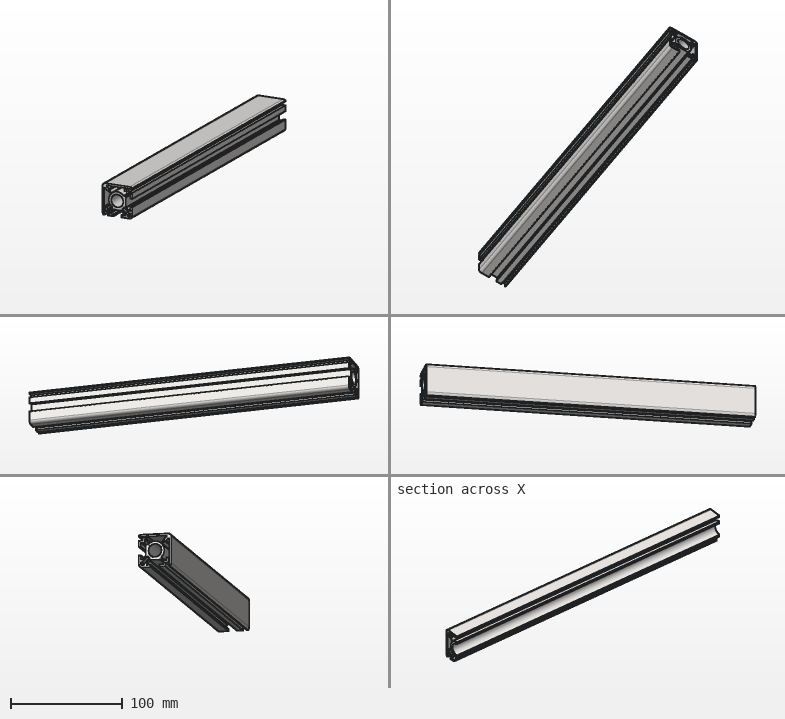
import cadquery as cq
import math

length = 300.0
side = 30.0
half = side / 2

wall = 1.95
inner_face = half - wall
corner_radius = 3.0

bore_radius = 6.0
tube_wall = 2.55
tube_radius = bore_radius + tube_wall

groove_width = 3.5
groove_bottom = inner_face - groove_width
groove_depth = 3.5
groove_floor_x = half - groove_depth
slit_start_x = 7.8
slit_wide_end_x = 9.3
slit_height = 1.05
slit_mouth_height = 0.45
tip_arc_start_x = half - corner_radius
tip_drop = 1.05

mouth_half_width = 4.0
lip_thickness = 1.8
lip_root = groove_bottom - lip_thickness
slot_ledge_width = 0.5
slot_ledge_x = tube_radius + slot_ledge_width
slot_ledge_drop = 1.05
slot_ledge_z = bore_radius - slot_ledge_drop
flank_end_x = 11.0
flank_step = 0.3
flank_end_z = lip_root - flank_step

chamber_left_x = -10.5
web_step_z = 12.3
hook_left_x = 7.0
hook_thickness = 1.65
hook_bottom = inner_face - slit_height - hook_thickness
hook_wall = 1.8
leg_inner_x = groove_floor_x - hook_wall
shelf_z = 5.7
shelf_right_x = 8.0
tube_notch_x = -6.0
tube_notch_z = 6.5
web_thick_offset = 1.8
web_thin_offset = 1.0
web_thick_end_x = -8.5
web_thin_start_x = -8.0

box_start_x = 7.0
box_web_offset = 1.8
box_web_end_x = 12.0
box_flare_drop = 0.15
box_flare_z = box_web_offset - box_web_end_x - box_flare_drop
box_chamfer = 1.0


def prism(profile):
    """Extrude an XZ profile over the full length, centred on Y = 0."""
    return profile.extrude(length / 2, both=True)


def polygon(points):
    """Full-length prism with the given XZ corner points."""
    return prism(cq.Workplane("XZ").polyline(points).close())


def across_diagonal(point):
    """Reflect a profile point in the line z = -x."""
    return (-point[1], -point[0])


def both_sides(body):
    """Return a body and its reflection in the plane z = -x."""
    reflected = body.mirror("XY").rotate((0, 0, 0), (0, 1, 0), 90)
    return body, reflected


def chamber():
    tube_start = (-math.sqrt(tube_radius**2 - tube_notch_z**2), tube_notch_z)
    tube_end = (math.sqrt(tube_radius**2 - shelf_z**2), shelf_z)
    return prism(
        cq.Workplane("XZ")
        .moveTo(chamber_left_x, inner_face)
        .lineTo(chamber_left_x, web_step_z)
        .lineTo(web_thick_end_x, web_thick_offset - web_thick_end_x)
        .lineTo(web_thin_start_x, web_thin_offset - web_thin_start_x)
        .lineTo(tube_notch_x, tube_notch_z)
        .lineTo(*tube_start)
        .threePointArc((0, tube_radius), tube_end)
        .lineTo(shelf_right_x, shelf_z)
        .lineTo(leg_inner_x, shelf_z + leg_inner_x - shelf_right_x)
        .lineTo(leg_inner_x, hook_bottom)
        .lineTo(hook_left_x, hook_bottom)
        .lineTo(hook_left_x, inner_face)
        .close()
    )


def t_slot():
    upper = [
        (half, mouth_half_width),
        (inner_face, mouth_half_width),
        (inner_face, lip_root),
        (flank_end_x, lip_root),
        (flank_end_x, flank_end_z),
        (slot_ledge_x, slot_ledge_z),
        (tube_radius, slot_ledge_z),
    ]
    return polygon(upper + [(x, -z) for x, z in reversed(upper)])


def cover_groove():
    return polygon([
        (half, groove_bottom),
        (groove_floor_x, groove_bottom),
        (groove_floor_x, inner_face - slit_mouth_height),
        (slit_wide_end_x, inner_face - slit_height),
        (slit_start_x, inner_face - slit_height),
        (slit_start_x, inner_face),
        (half, inner_face),
    ])


def tip_rounding():
    """Waste above the arc that is tangent to the top face and ends at the tip."""
    run = half - tip_arc_start_x
    radius = (run**2 + tip_drop**2) / (2 * tip_drop)
    mid_x = tip_arc_start_x + run / 2
    mid_z = half - radius + math.sqrt(radius**2 - (run / 2) ** 2)
    return prism(
        cq.Workplane("XZ")
        .moveTo(tip_arc_start_x, half)
        .threePointArc((mid_x, mid_z), (half, half - tip_drop))
        .lineTo(half, half)
        .close()
    )


def corner_hollow():
    upper = [
        (box_start_x, box_web_offset - box_start_x),
        (box_web_end_x, box_web_offset - box_web_end_x),
        (inner_face, box_flare_z),
        (inner_face, box_chamfer - inner_face),
    ]
    lower = [across_diagonal(point) for point in reversed(upper)]
    return polygon(upper + lower)


result = prism(cq.Workplane("XZ").rect(side, side))
for sign in (-1, 1):
    edge = cq.selectors.NearestToPointSelector((sign * half, 0, -sign * half))
    result = result.edges(edge).fillet(corner_radius)

result = result.cut(prism(cq.Workplane("XZ").circle(bore_radius)))
result = result.cut(corner_hollow())
for void in (chamber(), t_slot(), cover_groove(), tip_rounding()):
    for body in both_sides(void):
        result = result.cut(body)